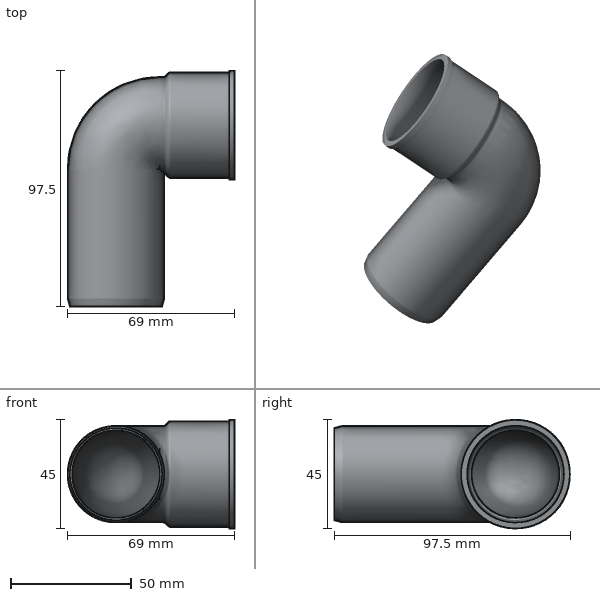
import cadquery as cq
import math

pipe_outer_radius = 40 / 2
pipe_bore_radius = 36.3 / 2
socket_outer_radius = 43.8 / 2
socket_bore_radius = 40.1 / 2
rim_radius = 45.0 / 2

bend_radius = 18.1
overall_x = 69.0
overall_y = 97.5
socket_end = overall_x - pipe_outer_radius
spigot_end = rim_radius - overall_y
rim_width = 2.1

flare_start = 20.2
flare_end = flare_start + socket_outer_radius - pipe_outer_radius
flare_blend_radius = 1.3

spigot_taper_length = 3.4
spigot_taper_depth = spigot_taper_length * math.tan(math.radians(15))

wall = pipe_outer_radius - pipe_bore_radius
bore_flare_start = flare_start + wall * math.tan(math.radians(22.5))
bore_flare_end = bore_flare_start + socket_bore_radius - pipe_bore_radius


def spigot(radius):
    """Straight cylinder from the end of the bend to the spigot mouth."""
    length = -bend_radius - spigot_end
    return cq.Workplane("XZ", origin=(0, -bend_radius, 0)).circle(radius).extrude(length)


def bend(radius):
    """Quarter turn of the part of a round section lying outside the turning axis."""
    keep = 4 * radius
    section = (
        cq.Sketch()
        .circle(radius)
        .push([(bend_radius - keep / 2, 0)])
        .rect(keep, keep, mode="i")
    )
    return (
        cq.Workplane("XZ", origin=(0, -bend_radius, 0))
        .placeSketch(section)
        .revolve(90, (bend_radius, 0), (bend_radius, -1))
    )


def turned_about_x(points):
    """Solid of revolution about X from (x, radius) points, starting at the bend."""
    start = points[0][0]
    end = points[-1][0]
    profile = [(start, 0)] + points + [(end, 0)]
    return cq.Workplane("XY").polyline(profile).close().revolve(360, (0, 0), (1, 0))


def spigot_body():
    return spigot(pipe_outer_radius).faces("<Y").chamfer(spigot_taper_length, spigot_taper_depth)


def socket_body():
    rim_start = socket_end - rim_width
    body = turned_about_x([
        (bend_radius, pipe_outer_radius),
        (flare_start, pipe_outer_radius),
        (flare_end, socket_outer_radius),
        (socket_end, socket_outer_radius),
    ])
    margin = 0.1
    flare_edges = cq.selectors.BoxSelector(
        (flare_start - margin, -rim_radius, -rim_radius),
        (flare_end + margin, rim_radius, rim_radius),
        boundingbox=True,
    )
    body = body.edges(flare_edges).edges("%CIRCLE").fillet(flare_blend_radius)
    rim = turned_about_x([(rim_start, rim_radius), (socket_end, rim_radius)])
    return body.union(rim)


def socket_bore():
    return turned_about_x([
        (bend_radius, pipe_bore_radius),
        (bore_flare_start, pipe_bore_radius),
        (bore_flare_end, socket_bore_radius),
        (socket_end, socket_bore_radius),
    ])


outer = spigot_body().union(bend(pipe_outer_radius)).union(socket_body())
result = (
    outer.cut(spigot(pipe_bore_radius))
    .cut(bend(pipe_bore_radius))
    .cut(socket_bore())
)